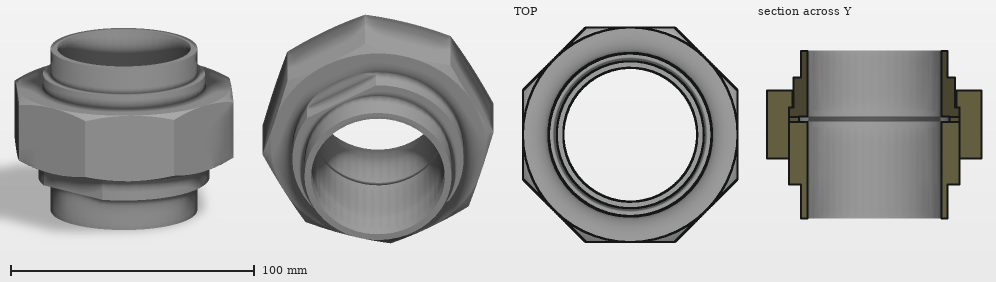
import cadquery as cq
import math


total_height = 69.0
body_flange_bottom = 14.0
flat_top = 22.8
nut_bottom = 24.7
nut_height = 28.0
nut_top = nut_bottom + nut_height
collar_top = 58.2
seat_height = 39.9
gasket_thickness = 2.0
gasket_top = seat_height + gasket_thickness
tail_flange_thickness = 4.0
shoulder_height = gasket_top + tail_flange_thickness

nut_width = 88.0
tube_diameter = 60.3
bore_diameter = 54.8
collar_diameter = 66.6
collar_clearance = 0.5
nut_opening = collar_diameter + collar_clearance
flange_diameter = 70.2
gasket_bore = 61.6
wrench_width = 62.3
nut_sides = 8
nut_chamfer_angle = 30.0


def cylinder(diameter, bottom, top):
    return cq.Workplane("XY").workplane(offset=bottom).circle(diameter / 2).extrude(top - bottom)


def wrench_flat_cut():
    """Material outside the +Y flat, with a 45 degree taper at its upper end."""
    flat_y = wrench_width / 2
    outer_y = flange_diameter / 2
    taper_end = flat_top + outer_y - flat_y
    return (
        cq.Workplane("YZ")
        .moveTo(flat_y, body_flange_bottom)
        .lineTo(outer_y, body_flange_bottom)
        .lineTo(outer_y, taper_end)
        .lineTo(flat_y, flat_top)
        .close()
        .extrude(flange_diameter / 2, both=True)
    )


def make_lower_body():
    tube = cylinder(tube_diameter, 0, body_flange_bottom)
    flange = cylinder(flange_diameter, body_flange_bottom, seat_height)
    flat = wrench_flat_cut()
    body = tube.union(flange).cut(flat).cut(flat.mirror("XZ"))
    return body.cut(cylinder(bore_diameter, 0, seat_height))


def make_gasket():
    ring = cylinder(flange_diameter, seat_height, gasket_top)
    return ring.cut(cylinder(gasket_bore, seat_height, gasket_top))


def make_tailpiece():
    flange = cylinder(flange_diameter, gasket_top, shoulder_height)
    collar = cylinder(collar_diameter, shoulder_height, collar_top)
    tube = cylinder(tube_diameter, collar_top, total_height)
    return flange.union(collar).union(tube).cut(cylinder(bore_diameter, gasket_top, total_height))


def nut_chamfer_envelope():
    """Round blank whose conical ends meet the octagon's inscribed circle."""
    inner_radius = nut_width / 2
    outer_radius = inner_radius / math.cos(math.pi / nut_sides)
    drop = (outer_radius - inner_radius) * math.tan(math.radians(nut_chamfer_angle))
    return (
        cq.Workplane("XZ")
        .moveTo(0, nut_bottom)
        .lineTo(inner_radius, nut_bottom)
        .lineTo(outer_radius, nut_bottom + drop)
        .lineTo(outer_radius, nut_top - drop)
        .lineTo(inner_radius, nut_top)
        .lineTo(0, nut_top)
        .close()
        .revolve(360, (0, 0, 0), (0, 1, 0))
    )


def make_nut():
    corner_diameter = nut_width / math.cos(math.pi / nut_sides)
    octagon = (
        cq.Workplane("XY")
        .workplane(offset=nut_bottom)
        .polygon(nut_sides, corner_diameter)
        .extrude(nut_height)
        .rotate((0, 0, 0), (0, 0, 1), 180 / nut_sides)
    )
    nut = octagon.intersect(nut_chamfer_envelope())
    nut = nut.cut(cylinder(flange_diameter, nut_bottom, shoulder_height))
    return nut.cut(cylinder(nut_opening, shoulder_height, nut_top))


lower_body = make_lower_body()
gasket = make_gasket()
tailpiece = make_tailpiece()
nut = make_nut()

result = cq.Compound.makeCompound([lower_body.val(), gasket.val(), tailpiece.val(), nut.val()])